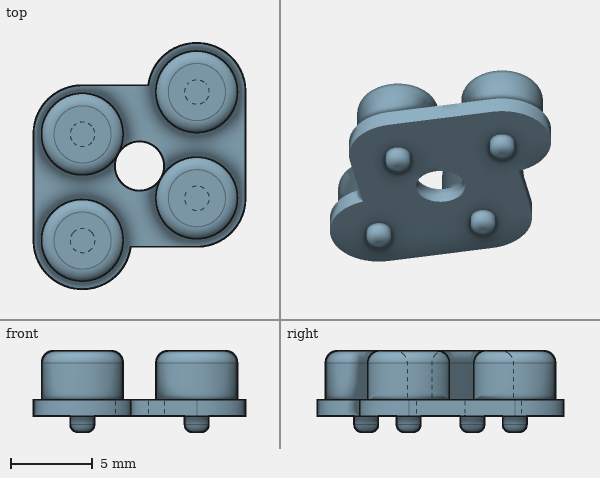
import cadquery as cq
import math

column_offset = 3.5
button_pitch = 6.5
outer_button_y = 4.545
plate_thickness = 1.0
plate_corner_radius = 3.0
centre_hole_diameter = 3.0
button_diameter = 5.0
button_height = 3.0
button_edge_radius = 0.75
pin_diameter = 1.5
pin_length = 1.0
pin_edge_radius = 0.5

inner_button_y = button_pitch - outer_button_y
button_centres = [
    (column_offset, outer_button_y),
    (column_offset, -inner_button_y),
    (-column_offset, inner_button_y),
    (-column_offset, -outer_button_y),
]


def make_plate():
    """Flat plate with rounded lobes around the buttons and a central hole."""
    r = plate_corner_radius
    diagonal = r * math.sqrt(0.5)
    side_x = column_offset + r
    shoulder_y = inner_button_y + r
    notch_rise = shoulder_y - outer_button_y
    notch_x = column_offset - math.sqrt(r**2 - notch_rise**2)

    outline = (
        cq.Workplane("XY")
        .moveTo(notch_x, shoulder_y)
        .threePointArc(
            (column_offset, outer_button_y + r),
            (side_x, outer_button_y),
        )
        .lineTo(side_x, -inner_button_y)
        .threePointArc(
            (column_offset + diagonal, -inner_button_y - diagonal),
            (column_offset, -shoulder_y),
        )
        .lineTo(-notch_x, -shoulder_y)
        .threePointArc(
            (-column_offset, -outer_button_y - r),
            (-side_x, -outer_button_y),
        )
        .lineTo(-side_x, inner_button_y)
        .threePointArc(
            (-column_offset - diagonal, inner_button_y + diagonal),
            (-column_offset, shoulder_y),
        )
        .close()
    )
    plate = outline.extrude(plate_thickness)
    hole = cq.Workplane("XY").circle(centre_hole_diameter / 2).extrude(plate_thickness)
    return plate.cut(hole)


def make_buttons():
    """Round buttons on top of the plate, with rounded upper edges."""
    return (
        cq.Workplane("XY")
        .workplane(offset=plate_thickness)
        .pushPoints(button_centres)
        .circle(button_diameter / 2)
        .extrude(button_height)
        .faces(">Z")
        .edges()
        .fillet(button_edge_radius)
    )


def make_pins():
    """Contact pins below each button, with rounded lower ends."""
    return (
        cq.Workplane("XY")
        .pushPoints(button_centres)
        .circle(pin_diameter / 2)
        .extrude(-pin_length)
        .faces("<Z")
        .edges()
        .fillet(pin_edge_radius)
    )


result = make_plate().union(make_buttons()).union(make_pins())